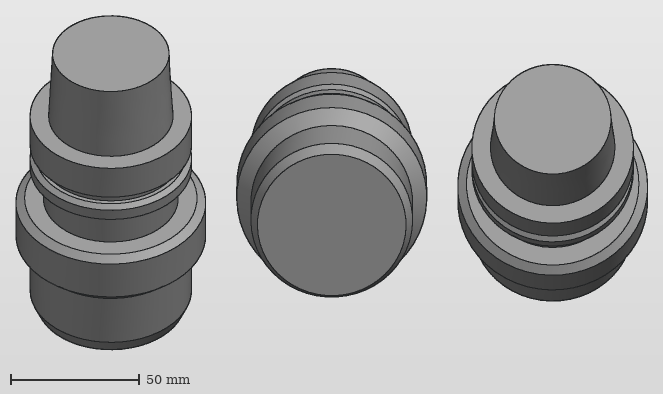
import cadquery as cq

body_d = 63.0
body_end_d = 57.9
collar_d = 74.0
collar_top_d = 67.2
neck_d = 52.6
flange_d = 63.0
flange_edge_d = 58.4
groove_d = 55.0
taper_base_d = 48.5
taper_top_d = 45.5

body_chamfer_z = 6.0
collar_bottom_z = 28.5
collar_wall_z = collar_bottom_z + (collar_d - body_d) / 2
collar_chamfer_z = 50.8
collar_top_z = 53.0
flange_bottom_z = 69.0
groove_bottom_z = 75.0
groove_top_z = 79.0
flange_top_z = 95.1
total_height = 127.0
groove_chamfer_height = 1.4

outline = [
    (body_end_d, 0),
    (body_d, body_chamfer_z),
    (body_d, collar_bottom_z),
    (collar_d, collar_wall_z),
    (collar_d, collar_chamfer_z),
    (collar_top_d, collar_top_z),
    (neck_d, collar_top_z),
    (neck_d, flange_bottom_z),
    (flange_d, flange_bottom_z),
    (flange_d, groove_bottom_z - groove_chamfer_height),
    (flange_edge_d, groove_bottom_z),
    (groove_d, groove_bottom_z),
    (groove_d, groove_top_z),
    (flange_edge_d, groove_top_z),
    (flange_d, groove_top_z + groove_chamfer_height),
    (flange_d, flange_top_z),
    (taper_base_d, flange_top_z),
    (taper_top_d, total_height),
]

half_profile = [(0, 0)] + [(d / 2, z) for d, z in outline] + [(0, total_height)]
result = cq.Workplane("XZ").polyline(half_profile).close().revolve(360, (0, 0, 0), (0, 1, 0))